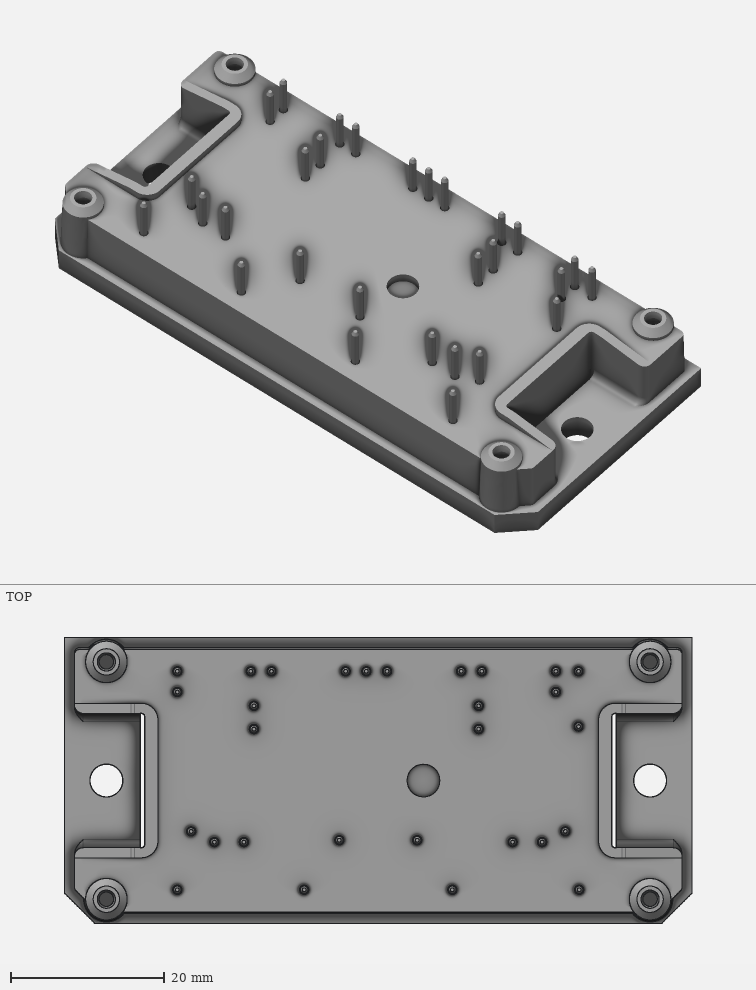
import cadquery as cq
import math

LENGTH = 82.0
WIDTH = 37.4
BASE_TOP = 3.45
BASE_CHAMFER = 4.0

HOUSING_MARGIN = 1.3
HOUSING_TOP = 10.5
DRAFT = 2.0
HOUSING_CHAMFER = 3.2
HOUSING_ROUND = 0.7
HOUSING_X = LENGTH / 2 - HOUSING_MARGIN
HOUSING_Y = WIDTH / 2 - HOUSING_MARGIN

POCKET_BACK_X = 30.5
POCKET_Y = 8.8
MOUTH_ROUND = 1.15
BACK_ROUND = 0.5
COVE_RADIUS = 1.1
GAP_WIDTH = 0.6
MOUNT_X = 35.5
HOLE_DIAMETER = 4.3

RIM_TOP = 11.65
RIM_BACK_X = 28.8
RIM_Y = 10.1
RIM_CREST_X = 32.1
RIM_CREST_ROUND = 3.3
RIM_CORNER = 2.1

POST_Y = 15.5
POST_RADIUS = 2.7
POST_SHOULDER = 11.0
POST_TOP = 11.9
POST_TOP_RADIUS = 1.7
BORE_DIAMETER = 2.4
BORE_LEAD_IN = 1.0
BORE_FLOOR_DIAMETER = 1.9
BORE_DEPTH = 6.6

RECESS_X = 5.9
RECESS_DEPTH = 1.3

PIN_DIAMETER = 1.0
CLEARANCE_DIAMETER = 1.2
CLEARANCE_DEPTH = 0.8
PIN_TOP = 16.2
PIN_CHAMFER_HEIGHT = 0.5
PIN_CHAMFER_WIDTH = 0.25
PIN_ROWS = [
    (14.3, [-26.2, -16.65, -13.9, -4.3, -1.55, 1.15, 10.8, 13.5, 23.2, 26.15]),
    (11.6, [-26.2, 23.2]),
    (9.75, [-16.2, 13.1]),
    (7.05, [26.15]),
    (6.7, [-16.2, 13.1]),
    (-6.65, [-24.4, 24.4]),
    (-7.8, [-5.1, 5.1]),
    (-8.0, [-21.4, -17.55, 17.55, 21.4]),
    (-14.3, [-26.2, -9.7, 9.7, 26.2]),
]
PIN_PLACES = [(x, y) for y, row in PIN_ROWS for x in row]


def both_ends(left):
    """Return the shape together with its mirror image at the +X end."""
    return left.union(left.mirror("YZ"))


def base_plate():
    plate = cq.Workplane("XY").rect(LENGTH, WIDTH).extrude(BASE_TOP)
    return plate.edges("|Z and <Y").chamfer(BASE_CHAMFER)


def housing():
    lean = (HOUSING_TOP - BASE_TOP) * math.tan(math.radians(DRAFT))
    block = (
        cq.Workplane("YZ", origin=(-HOUSING_X, 0, 0))
        .moveTo(-HOUSING_Y, BASE_TOP)
        .lineTo(HOUSING_Y, BASE_TOP)
        .lineTo(HOUSING_Y - lean, HOUSING_TOP)
        .lineTo(-HOUSING_Y + lean, HOUSING_TOP)
        .close()
        .extrude(2 * HOUSING_X)
    )
    corner = (
        cq.Workplane("XY", origin=(-HOUSING_X, -HOUSING_Y, BASE_TOP))
        .polyline([(0, 0), (HOUSING_CHAMFER, 0), (0, HOUSING_CHAMFER)])
        .close()
        .extrude(HOUSING_TOP - BASE_TOP)
    )
    block = block.cut(both_ends(corner))
    for end in ("<X", ">X"):
        block = block.faces(end).edges("not #Z").fillet(HOUSING_ROUND)
    return block


def rim():
    """Block over the pocket, level at the back and sloping down to the mouth."""
    block = (
        cq.Workplane("XZ", origin=(0, RIM_Y, 0))
        .moveTo(-HOUSING_X, BASE_TOP)
        .lineTo(-HOUSING_X, HOUSING_TOP)
        .lineTo(-RIM_CREST_X, RIM_TOP)
        .lineTo(-RIM_BACK_X, RIM_TOP)
        .lineTo(-RIM_BACK_X, BASE_TOP)
        .close()
        .extrude(2 * RIM_Y)
    )
    block = block.edges("|Z and >X").fillet(RIM_CORNER)
    crest = cq.NearestToPointSelector((-RIM_CREST_X, 0, RIM_TOP))
    return block.edges(crest).fillet(RIM_CREST_ROUND)


def pocket():
    """Pocket cutter whose sides meet the plate in coves."""
    return (
        cq.Workplane("YZ", origin=(-HOUSING_X, 0, 0))
        .moveTo(-POCKET_Y + COVE_RADIUS, BASE_TOP)
        .lineTo(POCKET_Y - COVE_RADIUS, BASE_TOP)
        .radiusArc((POCKET_Y, BASE_TOP + COVE_RADIUS), -COVE_RADIUS)
        .lineTo(POCKET_Y, RIM_TOP)
        .lineTo(-POCKET_Y, RIM_TOP)
        .lineTo(-POCKET_Y, BASE_TOP + COVE_RADIUS)
        .radiusArc((-POCKET_Y + COVE_RADIUS, BASE_TOP), -COVE_RADIUS)
        .close()
        .extrude(HOUSING_X - POCKET_BACK_X)
    )


def gap():
    """Slit through the plate, and the coves above it, along the pocket's back wall."""
    return (
        cq.Workplane("XY")
        .center(-POCKET_BACK_X - GAP_WIDTH / 2, 0)
        .rect(GAP_WIDTH, 2 * POCKET_Y)
        .extrude(BASE_TOP + COVE_RADIUS)
    )


def housing_with_pockets():
    body = housing().union(both_ends(rim())).cut(both_ends(pocket())).cut(both_ends(gap()))
    middle_height = (BASE_TOP + HOUSING_TOP) / 2
    for end in (-1, 1):
        for side in (-1, 1):
            y = side * POCKET_Y
            mouth = cq.NearestToPointSelector((end * HOUSING_X, y, middle_height))
            body = body.edges(mouth).fillet(MOUTH_ROUND)
            back = cq.NearestToPointSelector((end * POCKET_BACK_X, y, middle_height))
            body = body.edges(back).fillet(BACK_ROUND)
    return body


def at_posts(shape):
    """Return a copy of the shape at each of the four screw posts."""
    return (
        cq.Workplane("XY")
        .rect(2 * MOUNT_X, 2 * POST_Y, forConstruction=True)
        .vertices()
        .eachpoint(lambda place: shape.val().moved(place), combine=True)
    )


def post():
    foot_radius = POST_RADIUS + (POST_SHOULDER - BASE_TOP) * math.tan(math.radians(DRAFT))
    return (
        cq.Workplane("XZ")
        .moveTo(0, BASE_TOP)
        .lineTo(foot_radius, BASE_TOP)
        .lineTo(POST_RADIUS, POST_SHOULDER)
        .lineTo(POST_TOP_RADIUS, POST_TOP)
        .lineTo(0, POST_TOP)
        .close()
        .revolve()
    )


def post_bore():
    """Screw bore with a tapered lead-in."""
    return (
        cq.Workplane("XZ")
        .moveTo(0, POST_TOP)
        .lineTo(BORE_DIAMETER / 2, POST_TOP)
        .lineTo(BORE_FLOOR_DIAMETER / 2, POST_TOP - BORE_LEAD_IN)
        .lineTo(BORE_FLOOR_DIAMETER / 2, POST_TOP - BORE_DEPTH)
        .lineTo(0, POST_TOP - BORE_DEPTH)
        .close()
        .revolve()
    )


def pins():
    radius = PIN_DIAMETER / 2
    pin = (
        cq.Workplane("XZ")
        .moveTo(0, BASE_TOP)
        .lineTo(radius, BASE_TOP)
        .lineTo(radius, PIN_TOP - PIN_CHAMFER_HEIGHT)
        .lineTo(radius - PIN_CHAMFER_WIDTH, PIN_TOP)
        .lineTo(0, PIN_TOP)
        .close()
        .revolve()
    )
    return (
        cq.Workplane("XY")
        .pushPoints(PIN_PLACES)
        .eachpoint(lambda place: pin.val().moved(place), combine=True)
    )


mount_holes = (
    cq.Workplane("XY")
    .pushPoints([(-MOUNT_X, 0), (MOUNT_X, 0)])
    .circle(HOLE_DIAMETER / 2)
    .extrude(BASE_TOP)
)
recess = (
    cq.Workplane("XY", origin=(RECESS_X, 0, HOUSING_TOP - RECESS_DEPTH))
    .circle(HOLE_DIAMETER / 2)
    .extrude(RECESS_DEPTH)
)
pin_clearances = (
    cq.Workplane("XY", origin=(0, 0, HOUSING_TOP - CLEARANCE_DEPTH))
    .pushPoints(PIN_PLACES)
    .circle(CLEARANCE_DIAMETER / 2)
    .extrude(CLEARANCE_DEPTH)
)

result = (
    base_plate()
    .union(housing_with_pockets())
    .cut(both_ends(gap()))
    .cut(mount_holes)
    .cut(recess)
    .cut(pin_clearances)
    .union(at_posts(post()))
    .cut(at_posts(post_bore()))
    .union(pins())
)